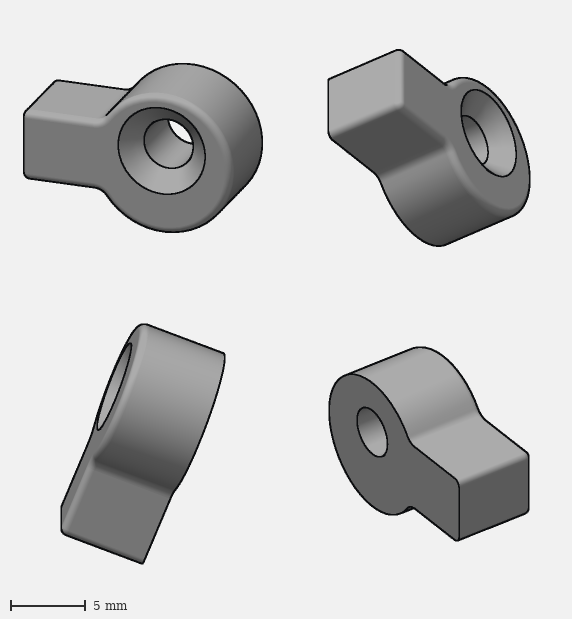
import cadquery as cq

total_length = 15.0
depth = 6.0
head_radius = 5.0
tab_height = 5.0
neck_fillet = 1.0
edge_fillet = 0.5
hole_diameter = 3.51
hole_offset = 1.0
countersink_diameter = 6.21
countersink_angle = 90.0

tab_length = total_length - head_radius


def make_body():
    """Round head with a rectangular tab towards -X; front face at Y = 0."""
    head = cq.Workplane("XZ").circle(head_radius).extrude(-depth)
    tab = (
        cq.Workplane("XZ")
        .center(-tab_length / 2, 0)
        .rect(tab_length, tab_height)
        .extrude(-depth)
    )
    return head.union(tab)


def round_edges(body):
    """Blend the neck and tab corners, then round the front outline."""
    neck_zone = cq.selectors.BoxSelector(
        (-head_radius, -depth, -tab_height), (-head_radius / 2, 2 * depth, tab_height)
    )
    body = body.edges("|Y").edges(neck_zone).fillet(neck_fillet)
    body = body.edges("|Y and <X").fillet(edge_fillet)
    return body.faces("<Y").edges().fillet(edge_fillet)


def cut_screw_hole(body):
    """Through hole along Y, countersunk from the front face."""
    return (
        body.faces("<Y")
        .workplane(origin=(0, 0, hole_offset))
        .cskHole(hole_diameter, countersink_diameter, countersink_angle)
    )


result = cut_screw_hole(round_edges(make_body()))